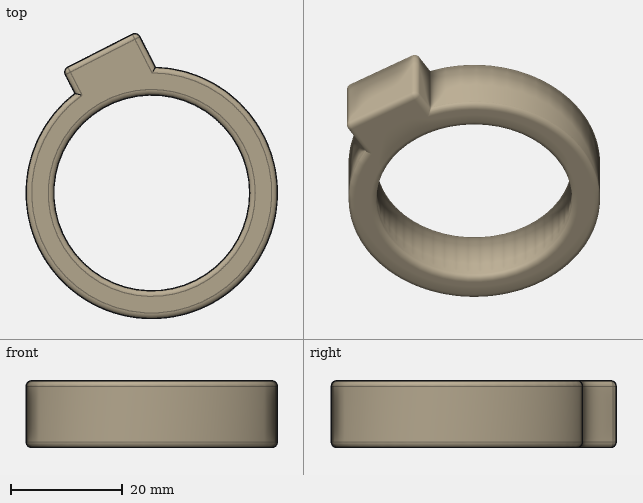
import cadquery as cq

outer_diameter = 45.0
bore_diameter = 35.0
height = 12.0
edge_radius = 1.0

lug_angle = 27.0
lug_width = 15.0
lug_offset = 3.3
lug_reach = 26.9


def make_lug():
    """Block from the ring axis out to the flat end, with its end corners rounded."""
    reach_middle = lug_reach / 2
    return (
        cq.Workplane("XY")
        .center(lug_offset, reach_middle)
        .rect(lug_width, lug_reach)
        .extrude(height)
        .edges("|Z and >Y")
        .fillet(edge_radius)
        .rotate((0, 0, 0), (0, 0, 1), lug_angle)
    )


def make_ring():
    """Ring and lug as one body, bored through, with every top and bottom edge rounded."""
    disc = cq.Workplane("XY").circle(outer_diameter / 2).extrude(height)
    bore = cq.Workplane("XY").circle(bore_diameter / 2).extrude(height)
    return (
        disc.union(make_lug())
        .cut(bore)
        .faces("<Z or >Z")
        .edges()
        .fillet(edge_radius)
    )


ring = make_ring()

result = cq.Compound.makeCompound([ring.val()])